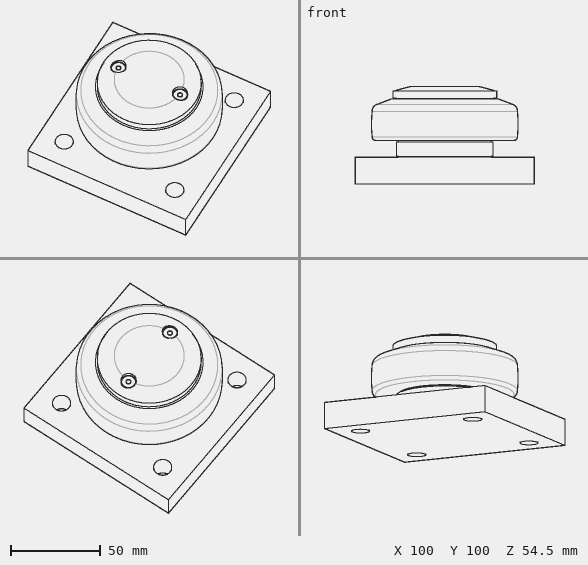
import cadquery as cq
import math

plate_side = 100.0
plate_height = 15.0
bolt_spacing = 70.0
bolt_hole_diameter = 10.1

stem_radius = 54.0 / 2
neck_radius = 52.0 / 2
lower_neck_top = 15.5
stem_top = 23.5

roller_bottom = 24.3
roller_bottom_round = 2.0
crown_bottom = 26.4
crown_top = 40.6
crown_edge_radius = 40.6
crown_middle_radius = 41.0
shoulder_edge_radius = 38.2
shoulder_edge_height = 44.4
shoulder_top_radius = 60.0 / 2
shoulder_top_height = 47.5

cap_radius = 58.0 / 2
cap_neck_radius = 54.0 / 2
cap_bottom = 47.8
cap_edge_height = 51.8
cap_flat_radius = 19.5
total_height = 54.5

recess_diameter = 8.6
recess_depth = 2.0
screw_head_diameter = 7.8
screw_head_depth = 1.5
socket_diameter = 2.7
socket_depth = 0.5


def make_plate():
    """Square plate with a through hole near each corner."""
    plate = cq.Workplane("XY").box(plate_side, plate_side, plate_height, centered=(True, True, False))
    return (
        plate.faces(">Z").workplane()
        .rect(bolt_spacing, bolt_spacing, forConstruction=True)
        .vertices().hole(bolt_hole_diameter)
    )


def make_turned_body():
    """Stem, roller and cap as one revolved half profile."""
    crown_middle_height = (crown_bottom + crown_top) / 2
    chord_run = crown_edge_radius - shoulder_edge_radius
    chord_rise = shoulder_edge_height - crown_top
    chord = math.hypot(chord_run, chord_rise)
    slope = math.atan2(
        shoulder_top_height - shoulder_edge_height, shoulder_edge_radius - shoulder_top_radius
    )
    bulge = chord / 2 * math.tan((math.pi / 2 - slope) / 4)
    round_middle = (
        (crown_edge_radius + shoulder_edge_radius) / 2 + bulge * chord_rise / chord,
        (crown_top + shoulder_edge_height) / 2 + bulge * chord_run / chord,
    )
    half_profile = (
        cq.Workplane("XZ")
        .moveTo(0, plate_height)
        .lineTo(neck_radius, plate_height)
        .lineTo(neck_radius, lower_neck_top)
        .lineTo(stem_radius, lower_neck_top)
        .lineTo(stem_radius, stem_top)
        .lineTo(neck_radius, stem_top)
        .lineTo(neck_radius, roller_bottom)
        .lineTo(crown_edge_radius - roller_bottom_round, roller_bottom)
        .tangentArcPoint((crown_edge_radius, crown_bottom), relative=False)
        .threePointArc((crown_middle_radius, crown_middle_height), (crown_edge_radius, crown_top))
        .threePointArc(round_middle, (shoulder_edge_radius, shoulder_edge_height))
        .lineTo(shoulder_top_radius, shoulder_top_height)
        .lineTo(cap_neck_radius, shoulder_top_height)
        .lineTo(cap_neck_radius, cap_bottom)
        .lineTo(cap_radius, cap_bottom)
        .lineTo(cap_radius, cap_edge_height)
        .lineTo(cap_flat_radius, total_height)
        .lineTo(0, total_height)
        .close()
    )
    return half_profile.revolve(360, (0, 0, 0), (0, 1, 0))


def make_screw_recesses():
    """Cutters that leave two socketed screw heads on opposite sides of the cap."""
    centres = [(-cap_flat_radius, 0), (cap_flat_radius, 0)]
    top = cq.Workplane("XY").workplane(offset=total_height).pushPoints(centres)
    recesses = top.circle(recess_diameter / 2).extrude(-recess_depth)
    head_top = cq.Workplane("XY").workplane(offset=total_height - screw_head_depth).pushPoints(centres)
    heads = head_top.circle(screw_head_diameter / 2).extrude(screw_head_depth - recess_depth)
    sockets = head_top.circle(socket_diameter / 2).extrude(-socket_depth)
    return recesses.cut(heads).union(sockets)


result = make_plate().union(make_turned_body()).cut(make_screw_recesses())